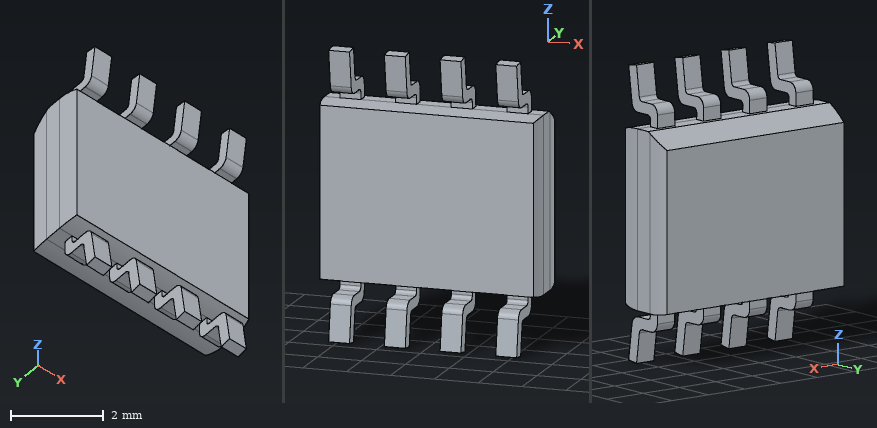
import cadquery as cq
import math

body_length = 5.0
body_height = 4.015
front_depth = 0.5
band_width = 0.435
back_face_y = 0.95
edge_drop = 0.065
bevel_depth = 0.57
bevel_rise = 0.335

leads_per_side = 4
lead_pitch = 1.27
lead_width = 0.48
root_thickness = 0.245
shank_inner_z = 2.25
shank_outer_z = 2.515
tip_z = 3.29
tip_y = -0.48
foot_thickness = 0.28
foot_tilt = 8.0
inner_bend_radius = 0.1
outer_bend_radius = 0.21
root_embed = 0.13


def curve_midpoint(wall, start_y, end_y):
    """Middle point of an arc that leaves the wall tangentially at start_y and drops by edge_drop."""
    run = end_y - start_y
    radius = (run**2 + edge_drop**2) / (2 * edge_drop)
    half_angle = math.asin(abs(run) / radius) / 2
    mid_y = start_y + math.copysign(radius * math.sin(half_angle), run)
    return wall - radius * (1 - math.cos(half_angle)), mid_y


def barrel_profile(plane, half_size, flip):
    """Closed body section: straight band in the middle, convex walls toward both faces.

    Local coordinates are (across, y), or (y, across) when flip is set.
    """
    def at(across, y):
        return (y, across) if flip else (across, y)

    edge = half_size - edge_drop
    front_across, front_mid_y = curve_midpoint(half_size, 0, -front_depth)
    back_across, back_mid_y = curve_midpoint(half_size, band_width, back_face_y)
    return (
        cq.Workplane(plane)
        .moveTo(*at(edge, -front_depth))
        .threePointArc(at(front_across, front_mid_y), at(half_size, 0))
        .lineTo(*at(half_size, band_width))
        .threePointArc(at(back_across, back_mid_y), at(edge, back_face_y))
        .lineTo(*at(-edge, back_face_y))
        .threePointArc(at(-back_across, back_mid_y), at(-half_size, band_width))
        .lineTo(*at(-half_size, 0))
        .threePointArc(at(-front_across, front_mid_y), at(-edge, -front_depth))
        .close()
    )


def make_body():
    """Body with barrel walls on all four sides and the bevel on the upper back edge."""
    across_x = barrel_profile("XY", body_length / 2, False).extrude(body_height / 2, both=True)
    across_z = barrel_profile("YZ", body_height / 2, True).extrude(body_length / 2, both=True)
    top_z = body_height / 2
    bevel = (
        cq.Workplane("YZ")
        .moveTo(back_face_y - bevel_depth, top_z)
        .lineTo(back_face_y, top_z)
        .lineTo(back_face_y, top_z - bevel_rise)
        .close()
        .extrude(body_length / 2, both=True)
    )
    return across_x.intersect(across_z).cut(bevel)


def make_upper_lead():
    """Gull-wing lead on the upper side, centred on x = 0."""
    tilt = math.radians(foot_tilt)
    root_z = body_height / 2 - root_embed
    front_tip_y = tip_y - foot_thickness * math.cos(tilt)
    front_tip_z = tip_z - foot_thickness * math.sin(tilt)
    heel_back_y = tip_y + (tip_z - shank_outer_z) * math.tan(tilt)
    heel_front_y = front_tip_y + (front_tip_z - shank_inner_z) * math.tan(tilt)

    outline = [
        (0, root_z),
        (0, shank_inner_z),
        (heel_front_y, shank_inner_z),
        (front_tip_y, front_tip_z),
        (tip_y, tip_z),
        (heel_back_y, shank_outer_z),
        (root_thickness, shank_outer_z),
        (root_thickness, root_z),
    ]
    lead = cq.Workplane("YZ").polyline(outline).close().extrude(lead_width / 2, both=True)

    inner_bends = [(0, shank_inner_z), (heel_back_y, shank_outer_z)]
    outer_bends = [(root_thickness, shank_outer_z), (heel_front_y, shank_inner_z)]
    for bends, radius in ((inner_bends, inner_bend_radius), (outer_bends, outer_bend_radius)):
        for bend_y, bend_z in bends:
            corner = cq.selectors.NearestToPointSelector((0, bend_y, bend_z))
            lead = lead.edges("|X").edges(corner).fillet(radius)
    return lead


upper_lead = make_upper_lead()
lower_lead = upper_lead.mirror("XY")

result = make_body()
for index in range(leads_per_side):
    lead_x = (index - (leads_per_side - 1) / 2) * lead_pitch
    for lead in (upper_lead, lower_lead):
        result = result.union(lead.translate((lead_x, 0, 0)))